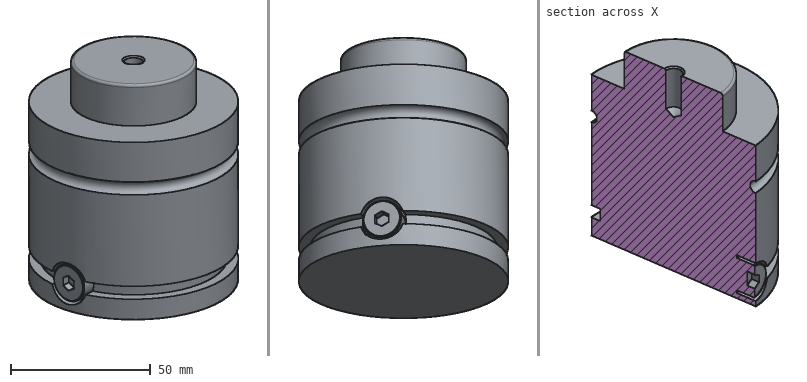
import cadquery as cq
import math

body_radius = 37.5
shoulder_height = 68.9
total_height = 85.0
stem_diameter = 45.0
stem_edge_radius = 1.0

round_groove_height = 51.0
round_groove_radius = 2.5
slot_bottom = 8.0
slot_top = 13.0
slot_floor_radius = 33.5

hole_diameter = 6.8
hole_mouth_diameter = 8.0
hole_depth = 17.0
drill_point_angle = 118.0

plug_height = 10.45
recess_diameter = 16.0
recess_floor = 28.9
plug_diameter = 14.0
plug_face = 37.0
plug_chamfer = 0.4
socket_across_flats = 5.0
socket_depth = 3.4


def make_body():
    body = cq.Workplane("XY").circle(body_radius).extrude(shoulder_height)
    stem = cq.Workplane("XY").circle(stem_diameter / 2).extrude(total_height)
    stem = stem.faces(">Z").edges().fillet(stem_edge_radius)
    return body.union(stem)


def make_round_groove():
    return cq.Workplane("XY").add(
        cq.Solid.makeTorus(body_radius, round_groove_radius, cq.Vector(0, 0, round_groove_height))
    )


def make_slot():
    return (
        cq.Workplane("XY")
        .workplane(offset=slot_bottom)
        .circle(body_radius)
        .circle(slot_floor_radius)
        .extrude(slot_top - slot_bottom)
    )


def make_stem_hole():
    radius = hole_diameter / 2
    mouth_radius = hole_mouth_diameter / 2
    mouth_depth = mouth_radius - radius
    hole_bottom = total_height - hole_depth
    point_depth = radius / math.tan(math.radians(drill_point_angle / 2))
    profile = [
        (0, total_height),
        (mouth_radius, total_height),
        (radius, total_height - mouth_depth),
        (radius, hole_bottom),
        (0, hole_bottom - point_depth),
    ]
    return cq.Workplane("XZ").polyline(profile).close().revolve(360, (0, 0), (0, 1))


def side_plane(distance):
    """Plane facing -Y at the given distance from the axis, centred on the plug."""
    return cq.Workplane("XZ", origin=(0, -distance, plug_height))


def make_recess():
    return side_plane(recess_floor).circle(recess_diameter / 2).extrude(body_radius - recess_floor)


def make_plug():
    plug = side_plane(recess_floor).circle(plug_diameter / 2).extrude(plug_face - recess_floor)
    plug = plug.faces("<Y").edges().chamfer(plug_chamfer)
    across_corners = socket_across_flats / math.cos(math.pi / 6)
    socket = (
        side_plane(plug_face)
        .transformed(rotate=(0, 0, 90))
        .polygon(6, across_corners)
        .extrude(-socket_depth)
    )
    return plug.cut(socket)


result = (
    make_body()
    .cut(make_round_groove())
    .cut(make_slot())
    .cut(make_stem_hole())
    .cut(make_recess())
    .union(make_plug())
)